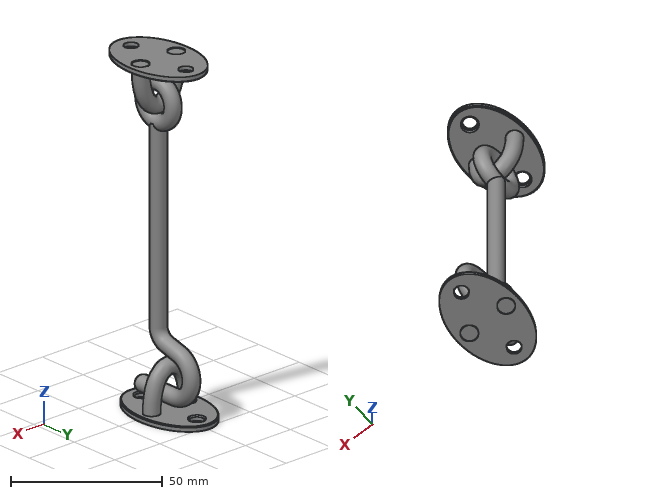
import cadquery as cq
import math

TOTAL_HEIGHT = 126.0

PLATE_WIDTH = 26.0
PLATE_LENGTH = 39.2
PLATE_THICKNESS = 1.9
PLATE_CHAMFER = 0.4
SCREW_HOLE_DIAMETER = 5.0
SCREW_HOLE_OFFSET = 13.5
SCREW_HOLE_CHAMFER = 0.5
CHAMFER_ANGLE = 90.0

WIRE_DIAMETER = 6.0
STAPLE_HEIGHT = 19.9
LEG_OFFSET = 8.0
LEG_RECESS = 0.4

LOWER_BRACKET_X = -0.5
LOWER_BRACKET_Y = 4.9

RING_RADIUS = 7.2
RING_WIRE_DIAMETER = 5.9
RING_CENTER_Z = 110.1
SHANK_BOTTOM_Z = 29.6
BEND_RADIUS = 5.5
SLOPE = math.radians(15)
SLOPE_LENGTH = 6.3
CURL_RADIUS = 8.2
PIN_END_Y = -10.0
PIN_END_FILLET = 2.4


def make_plate():
    """Oval plate with its back face on Z = 0 and its chamfered face on top."""
    plate = cq.Workplane("XY").ellipse(PLATE_WIDTH / 2, PLATE_LENGTH / 2).extrude(PLATE_THICKNESS)
    plate = plate.faces(">Z").chamfer(PLATE_CHAMFER)
    plate = (
        plate.faces(">Z").workplane(origin=(0, 0, 0))
        .pushPoints([(0, -SCREW_HOLE_OFFSET), (0, SCREW_HOLE_OFFSET)])
        .cskHole(SCREW_HOLE_DIAMETER, SCREW_HOLE_DIAMETER + 2 * SCREW_HOLE_CHAMFER, CHAMFER_ANGLE)
    )
    leg_holes = (
        cq.Workplane("XY")
        .pushPoints([(-LEG_OFFSET, 0), (LEG_OFFSET, 0)])
        .circle(WIRE_DIAMETER / 2)
        .extrude(PLATE_THICKNESS)
    )
    return plate.cut(leg_holes)


def make_staple():
    """Arch of round wire; its legs run straight through the plate and then curve to the crown."""
    crown_z = STAPLE_HEIGHT - WIRE_DIAMETER / 2
    path = (
        cq.Workplane("XZ")
        .moveTo(-LEG_OFFSET, LEG_RECESS)
        .lineTo(-LEG_OFFSET, PLATE_THICKNESS)
        .spline(
            [(0, crown_z), (LEG_OFFSET, PLATE_THICKNESS)],
            tangents=[(0, 1), (1, 0), (0, -1)],
            includeCurrent=True,
        )
        .lineTo(LEG_OFFSET, LEG_RECESS)
    )
    return (
        cq.Workplane("XY", origin=(-LEG_OFFSET, 0, LEG_RECESS))
        .circle(WIRE_DIAMETER / 2)
        .sweep(path)
    )


def turn_upside_down(body):
    """Turn a bracket part over so that its back face becomes the top of the assembly."""
    return body.rotate((0, 0, 0), (1, 0, 0), 180).translate((0, 0, TOTAL_HEIGHT))


def make_hook():
    """Shank with an eye ring at the top and a bent, curled pin at the bottom."""
    shank_top_z = RING_CENTER_Z - RING_RADIUS
    turn = math.pi / 2 - SLOPE

    bend_end_y = BEND_RADIUS * (1 - math.cos(turn))
    bend_end_z = SHANK_BOTTOM_Z - BEND_RADIUS * math.sin(turn)
    bend_mid_y = BEND_RADIUS * (1 - math.cos(turn / 2))
    bend_mid_z = SHANK_BOTTOM_Z - BEND_RADIUS * math.sin(turn / 2)

    slope_end_y = bend_end_y + SLOPE_LENGTH * math.cos(SLOPE)
    slope_end_z = bend_end_z - SLOPE_LENGTH * math.sin(SLOPE)

    curl_y = slope_end_y - CURL_RADIUS * math.sin(SLOPE)
    curl_z = slope_end_z - CURL_RADIUS * math.cos(SLOPE)

    path = (
        cq.Workplane("YZ")
        .moveTo(0, shank_top_z)
        .lineTo(0, SHANK_BOTTOM_Z)
        .threePointArc((bend_mid_y, bend_mid_z), (bend_end_y, bend_end_z))
        .lineTo(slope_end_y, slope_end_z)
        .threePointArc((curl_y + CURL_RADIUS, curl_z), (curl_y, curl_z - CURL_RADIUS))
        .lineTo(PIN_END_Y, curl_z - CURL_RADIUS)
    )
    rod = cq.Workplane("XY", origin=(0, 0, shank_top_z)).circle(WIRE_DIAMETER / 2).sweep(path)
    rod = rod.faces("<Y").edges().fillet(PIN_END_FILLET)

    ring = cq.Workplane(
        cq.Solid.makeTorus(
            RING_RADIUS, RING_WIRE_DIAMETER / 2, cq.Vector(0, 0, RING_CENTER_Z), cq.Vector(1, 0, 0)
        )
    )
    return rod.union(ring)


lower_bracket = make_plate().union(make_staple()).translate((LOWER_BRACKET_X, LOWER_BRACKET_Y, 0))
upper_plate = turn_upside_down(make_plate())
upper_staple = turn_upside_down(make_staple())
hook = make_hook()

result = cq.Compound.makeCompound(
    [lower_bracket.val(), upper_plate.val(), upper_staple.val(), hook.val()]
)